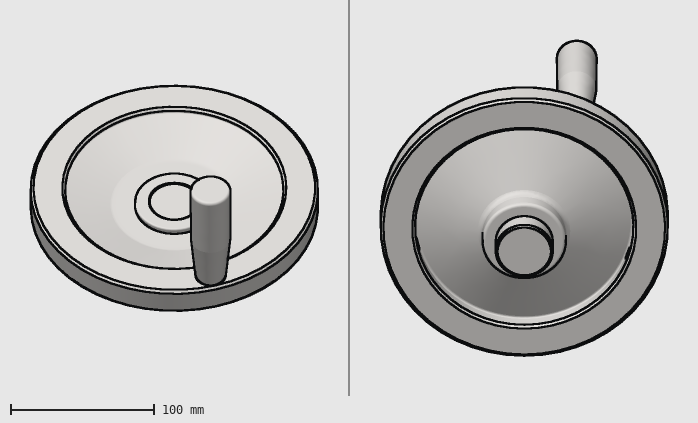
import cadquery as cq
import math


overall_length = 201.5
overall_height = 143.9

rim_diameter = 200.0
rim_radius = rim_diameter / 2
rim_inner_radius = 76.0
rim_bottom = 36.5
rim_top = 57.6
rim_chamfer = 2.0
rim_inner_chamfer = 2.0

web_angle = math.radians(22.3)
web_thickness = 4.8
web_top_height = 53.5
web_rim_fillet = 1.2

hub_diameter = 58.2
hub_radius = hub_diameter / 2
hub_bottom = 15.1
hub_floor = 39.9
hub_edge_fillet = 2.5
hub_web_fillet = 5.0
dish_floor_fillet = 9.7

boss_radius = 27.5
boss_top = 44.1
boss_fillet = 1.5
recess_radius = 17.1
recess_depth = 1.2
recess_chamfer = 0.6
recess_floor_fillet = 0.5

stub_radius = 20.0
stub_chamfer = 1.5

handle_top_diameter = 28.0
handle_top_radius = handle_top_diameter / 2
handle_waist_radius = 13.7
handle_foot_radius = 10.7
handle_offset = overall_length - rim_radius - handle_top_radius
handle_waist_height = 94.0
handle_top = overall_height
handle_fillet = 2.5
handle_foot_chamfer = 0.6

edge_tolerance = 0.1


def revolve(points):
    """Turn a closed (radius, height) outline about the Z axis."""
    return cq.Workplane("XZ").polyline(points).close().revolve(360, (0, 0, 0), (0, 1, 0))


def circle_at(radius, height):
    """Selector for the circular edge of this radius and height about the Z axis."""
    inner_reach = radius - edge_tolerance
    outer_reach = radius + edge_tolerance
    low = height - edge_tolerance
    high = height + edge_tolerance
    within_outer = cq.selectors.BoxSelector(
        (-outer_reach, -outer_reach, low), (outer_reach, outer_reach, high), boundingbox=True)
    within_inner = cq.selectors.BoxSelector(
        (-inner_reach, -inner_reach, low), (inner_reach, inner_reach, high), boundingbox=True)
    return within_outer - within_inner


def make_wheel():
    """Rim, web, hub and stub as one turned body."""
    slope = math.tan(web_angle)

    web_floor_radius = rim_inner_radius - (web_top_height - hub_floor) / slope
    web_under_rim = web_top_height - web_thickness
    web_under_hub = web_under_rim - (rim_inner_radius - hub_radius) * slope

    body = revolve([
        (0, 0),
        (stub_radius - stub_chamfer, 0),
        (stub_radius, stub_chamfer),
        (stub_radius, hub_bottom),
        (hub_radius, hub_bottom),
        (hub_radius, web_under_hub),
        (rim_inner_radius, web_under_rim),
        (rim_inner_radius, rim_bottom + rim_inner_chamfer),
        (rim_inner_radius + rim_inner_chamfer, rim_bottom),
        (rim_radius - rim_chamfer, rim_bottom),
        (rim_radius, rim_bottom + rim_chamfer),
        (rim_radius, rim_top - rim_chamfer),
        (rim_radius - rim_chamfer, rim_top),
        (rim_inner_radius + rim_inner_chamfer, rim_top),
        (rim_inner_radius, rim_top - rim_inner_chamfer),
        (rim_inner_radius, web_top_height),
        (web_floor_radius, hub_floor),
        (boss_radius, hub_floor),
        (boss_radius, boss_top),
        (0, boss_top),
    ])
    rounded_edges = [
        (hub_radius, hub_bottom, hub_edge_fillet),
        (hub_radius, web_under_hub, hub_web_fillet),
        (rim_inner_radius, web_under_rim, web_rim_fillet),
        (rim_inner_radius, web_top_height, web_rim_fillet),
        (web_floor_radius, hub_floor, dish_floor_fillet),
        (boss_radius, boss_top, boss_fillet),
    ]
    for radius, height, fillet in rounded_edges:
        body = body.edges(circle_at(radius, height)).fillet(fillet)
    return body


def make_recess():
    """Chamfered round recess in the top of the boss."""
    recess_floor = boss_top - recess_depth
    recess = revolve([
        (0, recess_floor),
        (recess_radius, recess_floor),
        (recess_radius, boss_top - recess_chamfer),
        (recess_radius + recess_chamfer, boss_top),
        (0, boss_top),
    ])
    return recess.faces("<Z").edges().fillet(recess_floor_fillet)


def make_handle():
    """Turned handle grip: a cone widening up to a waist, then a nearly straight grip."""
    grip = revolve([
        (0, rim_top),
        (handle_foot_radius - handle_foot_chamfer, rim_top),
        (handle_foot_radius, rim_top + handle_foot_chamfer),
        (handle_waist_radius, handle_waist_height),
        (handle_top_radius, handle_top),
        (0, handle_top),
    ])
    return grip.faces(">Z").edges().fillet(handle_fillet).translate((handle_offset, 0, 0))


result = make_wheel().cut(make_recess()).union(make_handle())